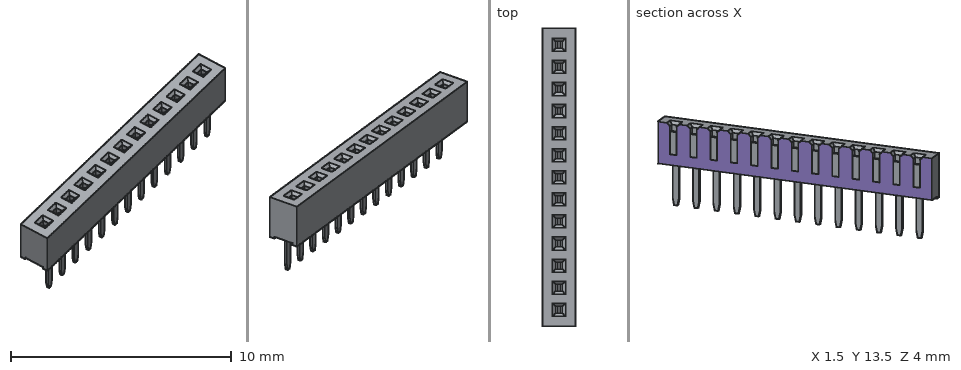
import cadquery as cq

PITCH = 1.0
CONTACT_COUNT = 13
HOUSING_WIDTH = 1.5
HOUSING_LENGTH = 13.5
HOUSING_HEIGHT = 2.1
OVERALL_HEIGHT = 4.0

CHANNEL_WIDTH = 1.0
CHANNEL_DEPTH = 0.1

FUNNEL_MOUTH = 0.6
FUNNEL_THROAT = 0.31
FUNNEL_DEPTH = (FUNNEL_MOUTH - FUNNEL_THROAT) / 2
SOCKET_DEPTH = 1.48

BLADE_THICKNESS = 0.12
BLADE_HEIGHT = 1.08

TAIL_OFFSET = 0.28
TAIL_THICKNESS = 0.12
TAIL_WIDTH = 0.3
TAIL_TIP_WIDTH = 0.16
TAIL_TIP_HEIGHT = 0.32

TAIL_END = HOUSING_HEIGHT - OVERALL_HEIGHT
CONTACT_POSITIONS = [PITCH * (i - (CONTACT_COUNT - 1) / 2) for i in range(CONTACT_COUNT)]


def make_housing():
    """Rectangular bar, its bottom at z = 0, with the channel cut along its full length."""
    bar = cq.Workplane("XY").rect(HOUSING_WIDTH, HOUSING_LENGTH).extrude(HOUSING_HEIGHT)
    channel = cq.Workplane("XY").rect(CHANNEL_WIDTH, HOUSING_LENGTH).extrude(CHANNEL_DEPTH)
    return bar.cut(channel)


def make_socket(y):
    """Square well with a tapered lead-in, less the contact blade that stands on its floor."""
    funnel = (
        cq.Workplane("XY", origin=(0, y, HOUSING_HEIGHT))
        .rect(FUNNEL_MOUTH, FUNNEL_MOUTH)
        .workplane(offset=-FUNNEL_DEPTH)
        .rect(FUNNEL_THROAT, FUNNEL_THROAT)
        .loft(ruled=True)
    )
    floor = cq.Workplane("XY", origin=(0, y, HOUSING_HEIGHT - SOCKET_DEPTH))
    well = floor.rect(FUNNEL_THROAT, FUNNEL_THROAT).extrude(SOCKET_DEPTH - FUNNEL_DEPTH)
    blade = floor.rect(BLADE_THICKNESS, FUNNEL_THROAT).extrude(BLADE_HEIGHT)
    return funnel.union(well).cut(blade)


def make_tail(y):
    """Flat solder tail hanging from the channel roof, narrowed along Y at its free end."""
    half_width = TAIL_WIDTH / 2
    half_tip = TAIL_TIP_WIDTH / 2
    shoulder = TAIL_END + TAIL_TIP_HEIGHT
    outline = [
        (y - half_width, CHANNEL_DEPTH),
        (y - half_width, shoulder),
        (y - half_tip, TAIL_END),
        (y + half_tip, TAIL_END),
        (y + half_width, shoulder),
        (y + half_width, CHANNEL_DEPTH),
    ]
    inner_face = TAIL_OFFSET - TAIL_THICKNESS / 2
    return cq.Workplane("YZ", origin=(inner_face, 0, 0)).polyline(outline).close().extrude(TAIL_THICKNESS)


result = make_housing()
for position in CONTACT_POSITIONS:
    result = result.cut(make_socket(position))
    result = result.union(make_tail(position))